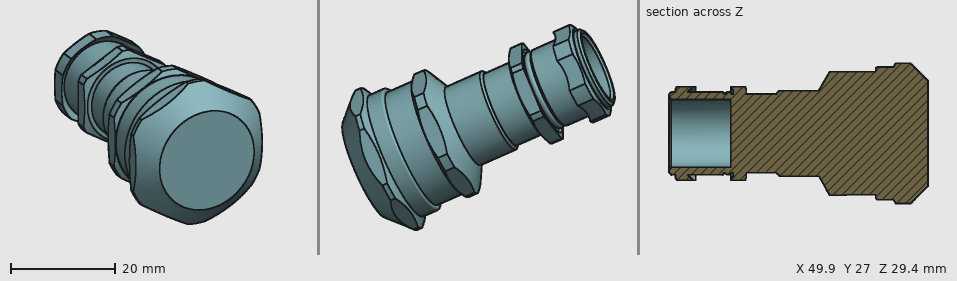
import cadquery as cq
import math


tube_dia = 16.0
tube_mouth_chamfer = 0.5
tube_end = 10.6
tube_end_chamfer = 0.25
bore_dia = 13.0
bore_mouth_chamfer = 0.5
bore_depth = 11.85

small_hex_flats = 18.0
small_nut_corner_dia = 19.05
small_nut_face_dia = 17.0
small_nut_start = 1.25
small_nut_end = 5.2

ring_section_radius = 0.7
ring_centre = 11.4
ring_outer_dia = 16.0
ring_seat_dia = 15.2

collar_corner_dia = 20.05
collar_face_dia = 17.0
collar_chamfer_length = 0.65
collar_start = 11.85
collar_end = 14.9
recess_mouth_dia = 17.5
recess_floor_dia = 16.5
recess_depth = 0.5

neck_dia = 15.2
sleeve_dia = 16.5
sleeve_start = 20.75
sleeve_chamfer = 0.5

body_flats = 23.8
body_corner_dia = 25.85
body_start = 28.8
body_end = 34.15
body_face_dia = 23.6
barrel_dia = 23.8

band_dia = 25.6
band_start = 39.75
band_fillet = 0.45

end_nut_flats = 27.0
end_nut_corner_dia = 29.35
end_nut_start = 43.2
end_nut_mouth_dia = 20.25
total_length = 49.85

NUT_CHAMFER_ANGLE = 60
NUT_CHAMFER_SLOPE = math.tan(math.radians(NUT_CHAMFER_ANGLE))
OVERLAP = 0.05


def revolve_profile(points):
    """Turn an (x, radius) outline about the X axis."""
    return cq.Workplane("XY").polyline(points).close().revolve(360, (0, 0, 0), (1, 0, 0))


def cylinder(dia, start, end):
    return cq.Workplane("YZ").workplane(offset=start).circle(dia / 2).extrude(end - start)


def hex_bar(flats, start, end):
    """Hexagon bar along X with two flats facing +Y and -Y, so corners point up and down."""
    across_corners = flats / math.cos(math.radians(30))
    bar = cq.Workplane("YZ").workplane(offset=start).polygon(6, across_corners).extrude(end - start)
    return bar.rotate((0, 0, 0), (1, 0, 0), 90)


def chamfer_length(corner_dia, face_dia):
    """Length along X of a nut chamfer running from the face circle to the corner circle."""
    return (corner_dia - face_dia) / 2 / NUT_CHAMFER_SLOPE


def make_tube():
    radius = tube_dia / 2
    bevel_start = tube_end - tube_end_chamfer
    return revolve_profile([
        (0, 0),
        (0, radius - tube_mouth_chamfer),
        (tube_mouth_chamfer, radius),
        (bevel_start, radius),
        (tube_end, radius - tube_end_chamfer),
        (tube_end, 0),
    ])


def make_bore():
    radius = bore_dia / 2
    return revolve_profile([
        (0, 0),
        (0, radius + bore_mouth_chamfer),
        (bore_mouth_chamfer, radius),
        (bore_depth, radius),
        (bore_depth, 0),
    ])


def make_small_nut():
    corner_radius = small_nut_corner_dia / 2
    dish_radius = tube_dia / 2
    dish_depth = corner_radius - dish_radius
    envelope = revolve_profile([
        (small_nut_start, 0),
        (small_nut_start, small_nut_face_dia / 2),
        (small_nut_start + chamfer_length(small_nut_corner_dia, small_nut_face_dia), corner_radius),
        (small_nut_end, corner_radius),
        (small_nut_end - dish_depth, dish_radius),
        (small_nut_end - dish_depth, 0),
    ])
    return hex_bar(small_hex_flats, small_nut_start, small_nut_end).intersect(envelope)


def make_sealing_ring():
    centre_radius = ring_outer_dia / 2 - ring_section_radius
    ring = (
        cq.Workplane("XY")
        .center(ring_centre, centre_radius)
        .circle(ring_section_radius)
        .revolve(360, (-ring_centre, -centre_radius, 0), (0.5 - ring_centre, -centre_radius, 0))
    )
    return cylinder(ring_seat_dia, tube_end - OVERLAP, collar_start + recess_depth + OVERLAP).union(ring)


def make_collar():
    corner_radius = collar_corner_dia / 2
    recess_floor = collar_start + recess_depth
    envelope = revolve_profile([
        (recess_floor, 0),
        (recess_floor, recess_floor_dia / 2),
        (collar_start, recess_mouth_dia / 2),
        (collar_start, corner_radius),
        (collar_end - collar_chamfer_length, corner_radius),
        (collar_end, collar_face_dia / 2),
        (collar_end, 0),
    ])
    return hex_bar(small_hex_flats, collar_start, collar_end).intersect(envelope)


def make_neck_and_sleeve():
    neck = cylinder(neck_dia, collar_end - OVERLAP, sleeve_start + OVERLAP)
    sleeve = cylinder(sleeve_dia, sleeve_start, body_start + OVERLAP)
    return neck.union(sleeve.faces("<X").chamfer(sleeve_chamfer))


def make_body():
    corner_radius = body_corner_dia / 2
    envelope = revolve_profile([
        (body_start, 0),
        (body_start, sleeve_dia / 2),
        (body_start + chamfer_length(body_corner_dia, sleeve_dia), corner_radius),
        (body_end - chamfer_length(body_corner_dia, body_face_dia), corner_radius),
        (body_end, body_face_dia / 2),
        (body_end, 0),
    ])
    hexagon = hex_bar(body_flats, body_start, body_end).intersect(envelope)
    return hexagon.union(cylinder(barrel_dia, body_end, band_start + OVERLAP))


def make_band():
    return cylinder(band_dia, band_start, end_nut_start + OVERLAP).faces("<X").edges().fillet(band_fillet)


def make_end_nut():
    corner_radius = end_nut_corner_dia / 2
    mouth_radius = end_nut_mouth_dia / 2
    cone_length = corner_radius - mouth_radius
    envelope = revolve_profile([
        (end_nut_start, 0),
        (end_nut_start, band_dia / 2),
        (end_nut_start + chamfer_length(end_nut_corner_dia, band_dia), corner_radius),
        (total_length - cone_length, corner_radius),
        (total_length, mouth_radius),
        (total_length, 0),
    ])
    return hex_bar(end_nut_flats, end_nut_start, total_length).intersect(envelope)


result = (
    make_tube()
    .union(make_small_nut())
    .union(make_sealing_ring())
    .union(make_collar())
    .union(make_neck_and_sleeve())
    .union(make_body())
    .union(make_band())
    .union(make_end_nut())
    .cut(make_bore())
)